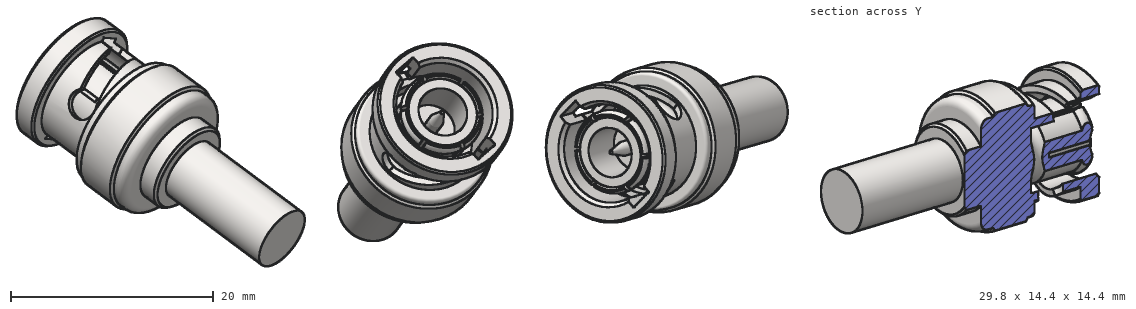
import cadquery as cq
import math

total_length = 29.8

flange_end = 2.4
flange_radius = 6.88
flange_chamfer = 0.2

sleeve_radius = 5.63
bore_radius = 4.92
bore_end = 8.65
mouth_radius = 5.3
mouth_depth = 0.45

collar_start = 8.2
collar_end = 15.02
shoulder_radius = 6.9
band_diameter = 14.45
band_radius = band_diameter / 2
band_start = 9.27
band_end = 13.23
band_chamfer = 0.25
collar_front_fillet = 0.33
collar_rear_fillet = 0.9

boss_end = 17.1
boss_radius = 4.75
boss_chamfer = 0.27
stem_radius = 3.28

contact_tip = 0.9
contact_radius = 3.85
contact_tip_radius = contact_radius
contact_bead_radius = 4.17
contact_bead_length = 1.35
contact_end = 6.95
rear_groove_radius = 3.37
rear_groove_middle = 7.78
rear_wall_radius = 4.17
contact_mouth_radius = 3.72
contact_mouth_depth = 0.3
contact_slot_count = 6
contact_slot_width = 0.45
contact_slot_end = 6.35

insulator_face = 1.07
insulator_radius = 3.5
insulator_bore_radius = 2.47
insulator_bore_end = 5.95
pin_radius = 0.72
pin_tip_radius = 0.18
pin_tip = 1.25
pin_cone_length = 2.38

channel_angle = 45.0
channel_width = 2.45
channel_outer_radius = 5.93
channel_length = 3.58
ramp_advance_per_degree = 0.023
ramp_width = 2.4
ramp_center_at_top = 5.57
ramp_end_angle = -42.0
ramp_start_angle = channel_angle + math.degrees(math.asin(channel_width / 2 / sleeve_radius))
detent_x = 6.17
detent_radius = 1.55
detent_angle = -41.5
wall_clearance = 0.12
entry_inner_radius = 2.98
cut_inner_radius = bore_radius - wall_clearance
cut_outer_radius = sleeve_radius + wall_clearance


def revolve_about_x(profile):
    """Revolve a closed profile, drawn as X against radius, around the X axis."""
    return profile.close().revolve(360, (0, 0, 0), (1, 0, 0))


def yz_point(radius, angle):
    """Point at an angle from +Z towards +Y, as (Y, Z)."""
    turn = math.radians(angle)
    return radius * math.sin(turn), radius * math.cos(turn)


def yz_sector(plane, inner, outer, start, end):
    """Closed annular sector drawn on a YZ plane."""
    middle = (start + end) / 2
    return (
        plane.moveTo(*yz_point(inner, start))
        .lineTo(*yz_point(outer, start))
        .threePointArc(yz_point(outer, middle), yz_point(outer, end))
        .lineTo(*yz_point(inner, end))
        .threePointArc(yz_point(inner, middle), yz_point(inner, start))
        .close()
    )


def make_outer_body():
    """Flange, sleeve, collar, boss and stem, with the front bore."""
    rear_fillet_center = (collar_end - collar_rear_fillet, shoulder_radius - collar_rear_fillet)
    rear_fillet_middle = (
        rear_fillet_center[0] + collar_rear_fillet * math.sqrt(0.5),
        rear_fillet_center[1] + collar_rear_fillet * math.sqrt(0.5),
    )
    front_fillet_center = (collar_start + collar_front_fillet, shoulder_radius - collar_front_fillet)
    front_fillet_middle = (
        front_fillet_center[0] - collar_front_fillet * math.sqrt(0.5),
        front_fillet_center[1] + collar_front_fillet * math.sqrt(0.5),
    )
    profile = (
        cq.Workplane("XY")
        .moveTo(0, mouth_radius)
        .lineTo(0, flange_radius - flange_chamfer)
        .lineTo(flange_chamfer, flange_radius)
        .lineTo(flange_end - flange_chamfer, flange_radius)
        .lineTo(flange_end, flange_radius - flange_chamfer)
        .lineTo(flange_end, sleeve_radius)
        .lineTo(collar_start, sleeve_radius)
        .lineTo(collar_start, front_fillet_center[1])
        .threePointArc(front_fillet_middle, (front_fillet_center[0], shoulder_radius))
        .lineTo(band_start - band_chamfer, shoulder_radius)
        .lineTo(band_start, band_radius)
        .lineTo(band_end, band_radius)
        .lineTo(band_end + band_chamfer, shoulder_radius)
        .lineTo(rear_fillet_center[0], shoulder_radius)
        .threePointArc(rear_fillet_middle, (collar_end, rear_fillet_center[1]))
        .lineTo(collar_end, boss_radius)
        .lineTo(boss_end - boss_chamfer, boss_radius)
        .lineTo(boss_end, boss_radius - boss_chamfer)
        .lineTo(boss_end, stem_radius)
        .lineTo(total_length, stem_radius)
        .lineTo(total_length, 0)
        .lineTo(bore_end, 0)
        .lineTo(bore_end, bore_radius)
        .lineTo(mouth_depth, bore_radius)
    )
    return revolve_about_x(profile)


def make_bayonet_cut():
    """Straight entry channel, helical ramp and round detent for one bayonet lug."""
    entry_height = channel_outer_radius - entry_inner_radius
    entry = (
        cq.Workplane("XY")
        .box(channel_length, channel_width, entry_height, centered=(False, True, False))
        .translate((0, 0, entry_inner_radius))
        .rotate((0, 0, 0), (1, 0, 0), -channel_angle)
    )

    half_sector = ramp_width / 2 / ramp_advance_per_degree
    start_angle = (ramp_center_at_top - flange_end) / ramp_advance_per_degree
    twist_length = collar_start - flange_end
    ramp = yz_sector(
        cq.Workplane("YZ", origin=(flange_end, 0, 0)),
        cut_inner_radius, cut_outer_radius, start_angle - half_sector, start_angle + half_sector,
    ).twistExtrude(twist_length, twist_length / ramp_advance_per_degree)
    ramp_range = yz_sector(
        cq.Workplane("YZ"),
        entry_inner_radius, flange_radius, ramp_end_angle, ramp_start_angle,
    ).extrude(collar_start)
    ramp = ramp.intersect(ramp_range)

    detent = (
        cq.Workplane("XY")
        .center(detent_x, 0)
        .circle(detent_radius)
        .extrude(cut_outer_radius)
        .rotate((0, 0, 0), (1, 0, 0), -detent_angle)
    )
    return entry, ramp, detent


def make_contact():
    """Slotted contact tube with a beaded tip, followed by a rounded groove at the bore floor."""
    profile = (
        cq.Workplane("XY")
        .moveTo(contact_tip, contact_mouth_radius)
        .lineTo(contact_tip, contact_tip_radius)
        .threePointArc(
            (contact_tip + contact_bead_length / 2, contact_bead_radius),
            (contact_tip + contact_bead_length, contact_radius),
        )
        .lineTo(contact_end, contact_radius)
        .threePointArc((rear_groove_middle, rear_groove_radius), (bore_end, rear_wall_radius))
        .lineTo(bore_end, insulator_bore_radius)
        .lineTo(contact_tip + contact_mouth_depth, insulator_bore_radius)
        .lineTo(contact_tip + contact_mouth_depth, insulator_radius)
    )
    contact = revolve_about_x(profile)
    slot = (
        cq.Workplane("XY")
        .box(contact_slot_end, contact_slot_width, contact_bead_radius, centered=(False, True, False))
        .translate((0, 0, insulator_radius))
    )
    for index in range(contact_slot_count):
        angle = 90 + index * 360 / contact_slot_count
        contact = contact.cut(slot.rotate((0, 0, 0), (1, 0, 0), angle))
    return contact


def make_insulator():
    """Insulator with a blind front bore."""
    profile = (
        cq.Workplane("XY")
        .moveTo(insulator_face, insulator_bore_radius)
        .lineTo(insulator_face, insulator_radius)
        .lineTo(contact_end, insulator_radius)
        .lineTo(contact_end, insulator_bore_radius)
        .lineTo(bore_end, insulator_bore_radius)
        .lineTo(bore_end, 0)
        .lineTo(insulator_bore_end, 0)
        .lineTo(insulator_bore_end, insulator_bore_radius)
    )
    return revolve_about_x(profile)


def make_pin():
    """Centre pin with a tapered, blunt tip."""
    profile = (
        cq.Workplane("XY")
        .moveTo(pin_tip, 0)
        .lineTo(pin_tip, pin_tip_radius)
        .lineTo(pin_tip + pin_cone_length, pin_radius)
        .lineTo(bore_end, pin_radius)
        .lineTo(bore_end, 0)
    )
    return revolve_about_x(profile)


body = make_outer_body()
for cutter in make_bayonet_cut():
    body = body.cut(cutter)
    body = body.cut(cutter.rotate((0, 0, 0), (1, 0, 0), 180))

result = body.union(make_contact()).union(make_insulator()).union(make_pin())